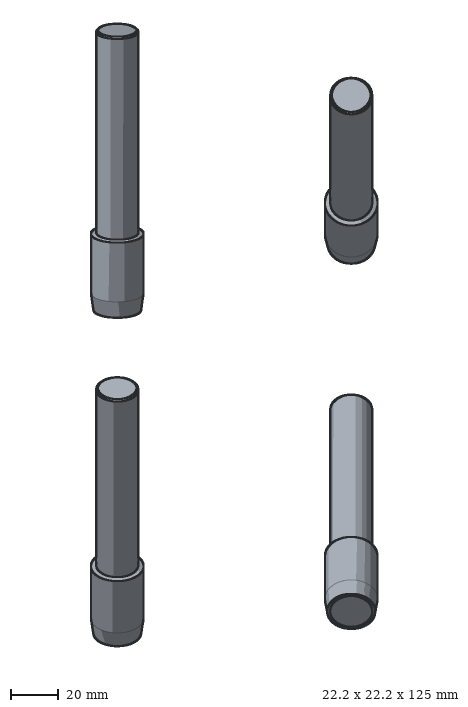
import cadquery as cq

PIN_LENGTH = 125.0
PIN_RADIUS = 8.9
PIN_CHAMFER = 0.8

SLEEVE_RADIUS = 11.1
SLEEVE_HEIGHT = 34.5
RIM_DROP = 0.5
TAPER_HEIGHT = 7.5
TAPER_END_RADIUS = 10.1


def make_pin():
    """Solid round pin with a chamfered upper end."""
    return cq.Workplane("XY").circle(PIN_RADIUS).extrude(PIN_LENGTH).faces(">Z").chamfer(PIN_CHAMFER)


def make_sleeve():
    """Sleeve revolved around the pin, bored through to the pin's radius."""
    profile = [
        (PIN_RADIUS, 0),
        (TAPER_END_RADIUS, 0),
        (SLEEVE_RADIUS, TAPER_HEIGHT),
        (SLEEVE_RADIUS, SLEEVE_HEIGHT - RIM_DROP),
        (PIN_RADIUS, SLEEVE_HEIGHT),
    ]
    return cq.Workplane("XZ").polyline(profile).close().revolve(360, (0, 0), (0, 1))


pin = make_pin()
sleeve = make_sleeve()

result = cq.Compound.makeCompound([pin.val(), sleeve.val()])